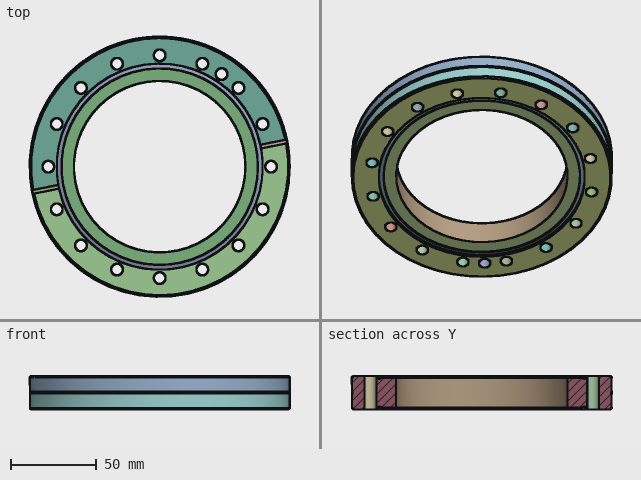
import cadquery as cq
import math

OUTER_RADIUS = 76.0
BORE_RADIUS = 50.0
HEIGHT = 19.8
EDGE_CHAMFER = 0.9

RIM_GROOVE_WIDTH = 1.2
RIM_GROOVE_DEPTH = 0.3

RECESS_RADIUS = 60.2
RECESS_DEPTH = 1.7
KNIFE_RADIUS = 57.5
KNIFE_DEPTH = 0.8
LAND_RADIUS = 57.3
LAND_DEPTH = 1.2

BOLT_COUNT = 16
BOLT_PITCH = 360 / BOLT_COUNT
BOLT_CIRCLE_RADIUS = 65.0
BOLT_HOLE_DIAMETER = 6.7
EXTRA_HOLE_ANGLE = 2.5 * BOLT_PITCH

NOTCH_RADIUS = 1.14
NOTCH_DEPTH = 0.9
NOTCH_ANGLE = BOLT_PITCH / 2


def polar_point(radius, angle):
    radians = math.radians(angle)
    return (radius * math.cos(radians), radius * math.sin(radians))


def flange_ring():
    """Revolve the section, whose two faces mirror each other about mid height."""
    middle = HEIGHT / 2
    upper_half = [
        (BORE_RADIUS, HEIGHT - LAND_DEPTH),
        (LAND_RADIUS, HEIGHT - LAND_DEPTH),
        (KNIFE_RADIUS, HEIGHT - KNIFE_DEPTH),
        (RECESS_RADIUS, HEIGHT - RECESS_DEPTH),
        (RECESS_RADIUS, HEIGHT),
        (OUTER_RADIUS - EDGE_CHAMFER, HEIGHT),
        (OUTER_RADIUS, HEIGHT - EDGE_CHAMFER),
        (OUTER_RADIUS, middle + RIM_GROOVE_WIDTH / 2),
    ]
    groove_bottom = (OUTER_RADIUS - RIM_GROOVE_DEPTH, middle)
    lower_half = [(radius, HEIGHT - z) for radius, z in reversed(upper_half)]
    section = cq.Workplane("XZ").polyline(upper_half + [groove_bottom] + lower_half).close()
    return section.revolve(360, (0, 0, 0), (0, 1, 0))


def bolt_holes():
    angles = [i * BOLT_PITCH for i in range(BOLT_COUNT)] + [EXTRA_HOLE_ANGLE]
    centers = [polar_point(BOLT_CIRCLE_RADIUS, angle) for angle in angles]
    return cq.Workplane("XY").pushPoints(centers).circle(BOLT_HOLE_DIAMETER / 2).extrude(HEIGHT)


def leak_notch(angle):
    """Round-bottomed radial channel from the recess out through the rim."""
    start = RECESS_RADIUS - NOTCH_RADIUS
    channel = (
        cq.Workplane("YZ", origin=(start, 0, 0))
        .center(0, HEIGHT - NOTCH_DEPTH + NOTCH_RADIUS)
        .circle(NOTCH_RADIUS)
        .extrude(OUTER_RADIUS - start)
    )
    return channel.rotate((0, 0, 0), (0, 0, 1), angle)


result = flange_ring().cut(bolt_holes())
for notch_angle in (NOTCH_ANGLE, NOTCH_ANGLE + 180):
    result = result.cut(leak_notch(notch_angle))